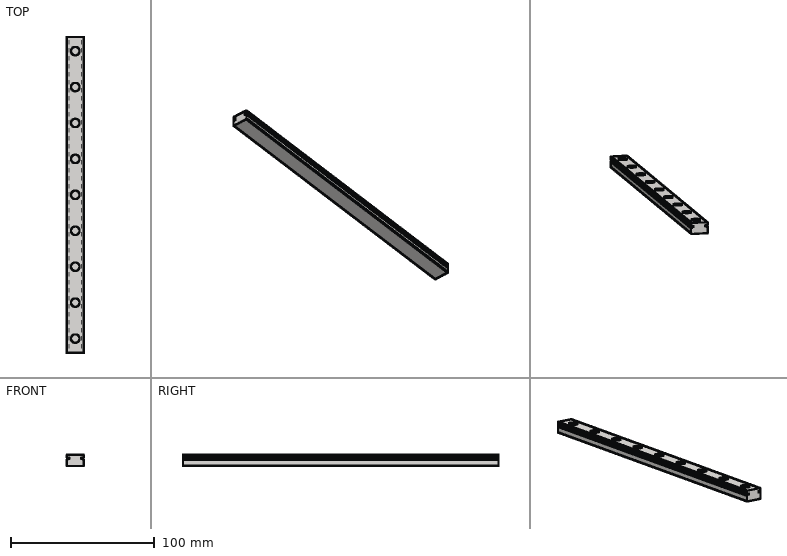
import cadquery as cq

length = 220.0
width = 12.0
height = 8.0
edge_chamfer = 0.5

groove_center_height = 5.3
groove_radius = 1.0
groove_depth = 0.77
relief_width = 0.7
relief_depth = 1.8

cap_count = 9
cap_diameter = 6.0
cap_recess = 0.2
end_distance = 10.0
cap_pitch = (length - 2 * end_distance) / (cap_count - 1)


def rail_blank():
    """Plain bar with its four long edges chamfered."""
    bar = cq.Workplane("XY").box(width, length, height, centered=(True, True, False))
    return bar.edges("|Y").chamfer(edge_chamfer)


def side_groove(side):
    """Cutter for the groove on one side: side is -1 for -X and +1 for +X."""
    ball_center_x = side * (width / 2 + groove_radius - groove_depth)
    relief_root_x = side * (width / 2 - relief_depth)
    profile_plane = cq.Workplane("XZ", origin=(0, 0, groove_center_height))
    ball_track = (
        profile_plane.center(ball_center_x, 0)
        .circle(groove_radius)
        .extrude(length / 2, both=True)
    )
    relief_slot = (
        profile_plane.center((ball_center_x + relief_root_x) / 2, 0)
        .rect(abs(ball_center_x - relief_root_x), relief_width)
        .extrude(length / 2, both=True)
    )
    return ball_track.union(relief_slot)


def cap_recesses():
    """Cutter for the shallow round recesses above the hole caps."""
    return (
        cq.Workplane("XY", origin=(0, 0, height))
        .rarray(2.2, cap_pitch, 1, cap_count)
        .circle(cap_diameter / 2)
        .extrude(-cap_recess)
    )


result = rail_blank().cut(cap_recesses())
for side in (-1, 1):
    result = result.cut(side_groove(side))